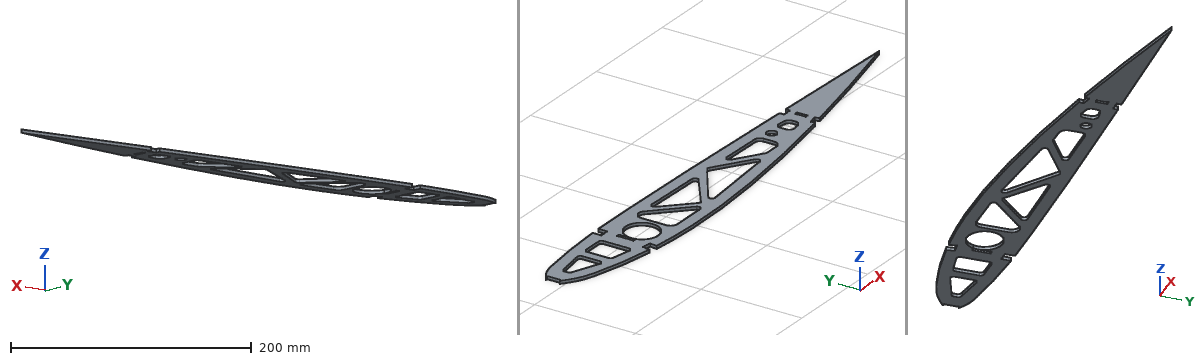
import cadquery as cq

chord = 512.27
thickness = 3.0

nose_top = (0.0, -2.9)
nose_bottom = (0.0, -16.9)
tail_tip = (chord, 0.0)
upper_curve = [
    (11.5, 2.6), (31.8, 5.9), (59.5, 8.6), (92.0, 10.3), (118.0, 10.6),
    (160.0, 10.2), (239.0, 8.8), (339.0, 5.9), (433.0, 2.6),
]
lower_curve = [
    (405.0, -23.3), (360.0, -31.6), (291.0, -42.2), (248.0, -47.1), (211.0, -50.1),
    (162.0, -51.6), (116.0, -49.6), (81.2, -45.3), (58.0, -40.9), (34.8, -34.9),
    (16.3, -28.2), (5.3, -21.2),
]

nose_setback = 2.0
nose_lip = 0.5

small_round = 3.0
medium_round = 5.0
large_round = 7.0
windows = {
    "nose": [
        (17.4, -8.1, small_round),
        (49.7, -3.5, small_round),
        (49.7, -28.7, small_round),
        (17.4, -15.4, small_round),
    ],
    "front bay": [
        (58.9, -2.9, small_round),
        (83.5, -2.9, small_round),
        (83.5, -34.6, small_round),
        (58.9, -29.5, small_round),
    ],
    "truss 1": [
        (137.5, 8.6, large_round),
        (185.8, -39.7, small_round),
        (137.5, -39.7, large_round),
    ],
    "truss 2": [
        (156.7, -1.2, small_round),
        (231.8, -3.1, small_round),
        (189.2, -33.9, small_round),
    ],
    "truss 3": [
        (192.0, -39.4, small_round),
        (247.0, -2.0, small_round),
        (290.2, -31.0, small_round),
    ],
    "truss 4": [
        (262.9, -4.2, small_round),
        (319.8, -5.4, medium_round),
        (319.8, -27.8, large_round),
        (298.4, -27.8, medium_round),
    ],
    "tail": [
        (344.8, -5.4, medium_round),
        (361.5, -7.6, medium_round),
        (361.5, -19.3, medium_round),
        (344.8, -22.4, medium_round),
    ],
}

tube_center = (117.0, -22.2)
tube_diameter = 32.0
pin_center = (332.2, -10.6)
pin_diameter = 9.6

web_width = 3.0
front_web_x = 99.2
front_web_y = (-26.3, -10.0)
rear_web_x = 375.2
rear_web_y = (-17.2, -6.8)

cap_width = 9.0
front_upper_notch = (96.2, 1.7)
front_lower_notch = (96.4, -40.2)
front_lower_tilt = -8.0
rear_upper_notch = (372.2, 0.4)
rear_lower_notch = (372.5, -25.0)
rear_lower_tilt = 12.0
notch_reach = 15.0


def airfoil_plate():
    """Solid airfoil section with the flat nose face set back between its lips."""
    upper_lip = (nose_setback, nose_top[1] - nose_lip)
    lower_lip = (nose_setback, nose_bottom[1] + nose_lip)
    return (
        cq.Workplane("XY")
        .moveTo(*nose_top)
        .spline(upper_curve + [tail_tip], includeCurrent=True)
        .spline(lower_curve + [nose_bottom], includeCurrent=True)
        .lineTo(*lower_lip)
        .lineTo(*upper_lip)
        .close()
        .extrude(thickness)
    )


def window(corners):
    """Polygonal cutter with each vertical edge rounded by its own radius."""
    outline = [(x, y) for x, y, radius in corners]
    cutter = cq.Workplane("XY").polyline(outline).close().extrude(thickness)
    for x, y, radius in corners:
        corner_edge = cq.selectors.NearestToPointSelector((x, y, thickness / 2))
        cutter = cutter.edges("|Z").edges(corner_edge).fillet(radius)
    return cutter


def round_hole(center, diameter):
    return cq.Workplane("XY").center(*center).circle(diameter / 2).extrude(thickness)


def web_slot(x, y_range):
    bottom, top = y_range
    return (
        cq.Workplane("XY")
        .center(x, (bottom + top) / 2)
        .rect(web_width, top - bottom)
        .extrude(thickness)
    )


def cap_notch(floor_center, outward, tilt=0.0):
    """Open notch whose floor sits at floor_center; outward is +1 (up) or -1 (down) in Y."""
    x, y = floor_center
    return (
        cq.Workplane("XY")
        .center(0, outward * notch_reach / 2)
        .rect(cap_width, notch_reach)
        .extrude(thickness)
        .rotate((0, 0, 0), (0, 0, 1), tilt)
        .translate((x, y, 0))
    )


cutouts = [window(corners) for corners in windows.values()]
cutouts += [
    round_hole(tube_center, tube_diameter),
    round_hole(pin_center, pin_diameter),
    web_slot(front_web_x, front_web_y),
    web_slot(rear_web_x, rear_web_y),
    cap_notch(front_upper_notch, 1),
    cap_notch(front_lower_notch, -1, front_lower_tilt),
    cap_notch(rear_upper_notch, 1),
    cap_notch(rear_lower_notch, -1, rear_lower_tilt),
]

result = airfoil_plate()
for cutout in cutouts:
    result = result.cut(cutout)